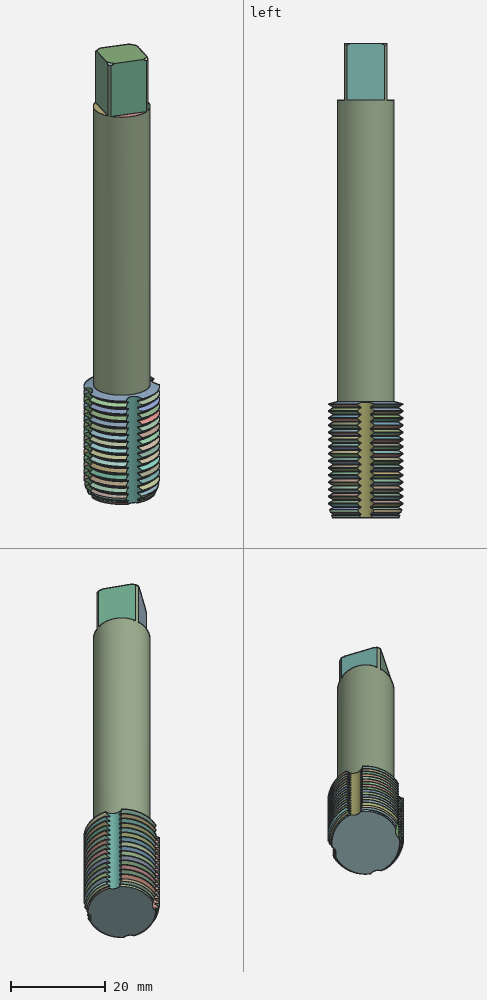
import cadquery as cq
import math

total_length = 100.0

shank_diameter = 12.0
square_size = 9.0
square_length = 12.0
corner_chamfer_width = 0.5
corner_chamfer_height = 0.4

head_diameter = 16.0
head_length = 24.5
top_cone_drop = 0.5
tip_radius = 7.1
tip_cone_height = 2.2

pitch = 1.5
thread_angle = 60.0
crest_flat = pitch / 8
root_flat = pitch / 8
flank_rise = (pitch - crest_flat - root_flat) / 2
thread_depth = flank_rise / math.tan(math.radians(thread_angle / 2))
lowest_groove_z = pitch / 2
groove_count = 16

flute_count = 4
flute_radius = 1.9
flute_circle_diameter = 17.1

shank_radius = shank_diameter / 2
head_radius = head_diameter / 2


def thread_groove(center_z):
    """Closed ring with a trapezoidal section, one valley between two thread crests."""
    root_radius = head_radius - thread_depth
    half_root = root_flat / 2
    half_mouth = (pitch - crest_flat) / 2
    return (
        cq.Workplane("XZ")
        .moveTo(root_radius, center_z - half_root)
        .lineTo(head_radius, center_z - half_mouth)
        .lineTo(head_radius, center_z + half_mouth)
        .lineTo(root_radius, center_z + half_root)
        .close()
        .revolve(360, (0, 0, 0), (0, 1, 0))
    )


def make_head():
    """Threaded, fluted cutting head with coned ends."""
    head = (
        cq.Workplane("XZ")
        .moveTo(0, 0)
        .lineTo(tip_radius, 0)
        .lineTo(head_radius, tip_cone_height)
        .lineTo(head_radius, head_length - top_cone_drop)
        .lineTo(shank_radius, head_length)
        .lineTo(0, head_length)
        .close()
        .revolve(360, (0, 0, 0), (0, 1, 0))
    )
    for index in range(groove_count):
        head = head.cut(thread_groove(lowest_groove_z + index * pitch))

    flutes = (
        cq.Workplane("XY")
        .polarArray(flute_circle_diameter / 2, 0, 360, flute_count)
        .circle(flute_radius)
        .extrude(head_length)
    )
    return head.cut(flutes)


def make_shank():
    """Round shank whose upper end is milled to a square with coned corners."""
    square_base_z = total_length - square_length
    shank = (
        cq.Workplane("XZ")
        .moveTo(0, head_length)
        .lineTo(shank_radius, head_length)
        .lineTo(shank_radius, total_length - corner_chamfer_height)
        .lineTo(shank_radius - corner_chamfer_width, total_length)
        .lineTo(0, total_length)
        .close()
        .revolve(360, (0, 0, 0), (0, 1, 0))
    )
    milled_ring = (
        cq.Workplane("XY", origin=(0, 0, square_base_z))
        .circle(shank_diameter)
        .rect(square_size, square_size)
        .extrude(square_length)
    )
    return shank.cut(milled_ring)


head = make_head()
shank = make_shank()

result = cq.Compound.makeCompound([head.val(), shank.val()])